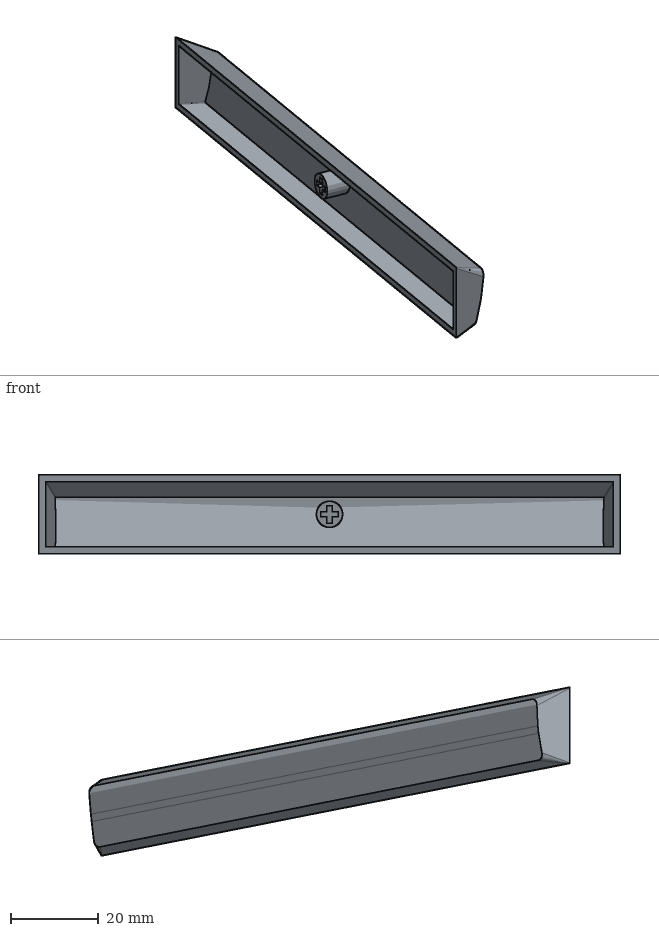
import cadquery as cq
import math

length = 132.5
height = 18.0
depth = 8.7

end_taper = 3.0
crown_height = 13.6
crown_low_depth = 6.4
crown_bulge = 0.5
rim_corner_radius = 0.1
crown_corner_radius = 1.6

wall = 1.6
cavity_end_inset = 4.1
cavity_height = 12.3
crown_wall = 1.2
cavity_corner_radius = 0.1

stem_diameter = 6.0
stem_recess = 1.3
socket_span = 4.0
socket_slot = 1.2
socket_depth = 4.0

crown_rise = depth - crown_low_depth
crown_chord = math.hypot(crown_rise, crown_height)
crown_radius = (crown_chord**2 / 4 + crown_bulge**2) / (2 * crown_bulge)
crown_tilt = math.atan2(crown_rise, crown_height)
axis_offset = crown_radius - crown_bulge
axis_y = (crown_low_depth + depth) / 2 - axis_offset * math.cos(crown_tilt)
axis_z = crown_height / 2 + axis_offset * math.sin(crown_tilt)


def tapered_block(rim, crown, crown_depths, radii):
    """Ruled loft from the rim rectangle to the tilted crown rectangle.

    rim and crown are (width, bottom Z, top Z); crown_depths are the Y values
    at the bottom and top of the crown rectangle.
    """
    rim_width, rim_bottom, rim_top = rim
    crown_width, crown_bottom, crown_top = crown
    low, high = crown_depths
    tall = crown_top - crown_bottom
    rise = high - low
    rim_plane = cq.Plane((0, 0, (rim_bottom + rim_top) / 2), (1, 0, 0), (0, -1, 0))
    crown_plane = cq.Plane(
        (0, (low + high) / 2, (crown_bottom + crown_top) / 2), (1, 0, 0), (0, -tall, rise)
    )
    rim_sketch = cq.Sketch().rect(rim_width, rim_top - rim_bottom).vertices().fillet(radii[0])
    crown_sketch = cq.Sketch().rect(crown_width, math.hypot(tall, rise)).vertices().fillet(radii[1])
    return (
        cq.Workplane("XY")
        .placeSketch(rim_sketch.moved(rim_plane.location), crown_sketch.moved(crown_plane.location))
        .loft(ruled=True)
    )


def crown_cylinder(radius):
    """Long cylinder along X, concentric with the crown arc."""
    return (
        cq.Workplane("YZ", origin=(-length / 2, 0, 0))
        .center(axis_y, axis_z)
        .circle(radius)
        .extrude(length)
    )


def outer_body():
    block = tapered_block(
        (length, 0, height),
        (length - 2 * end_taper, 0, crown_height),
        (crown_low_depth + crown_bulge, depth + crown_bulge),
        (rim_corner_radius, crown_corner_radius),
    )
    return block.intersect(crown_cylinder(crown_radius))


def cavity():
    block = tapered_block(
        (length - 2 * wall, wall, height - wall),
        (length - 2 * cavity_end_inset, wall, cavity_height),
        (crown_low_depth, depth),
        (cavity_corner_radius, cavity_corner_radius),
    )
    return block.intersect(crown_cylinder(crown_radius - crown_wall))


def stem():
    """Round post from near the rim plane into the crown wall."""
    face = cq.Workplane("XZ", origin=(0, stem_recess, height / 2))
    post = face.circle(stem_diameter / 2).extrude(-depth)
    post = post.intersect(crown_cylinder(crown_radius - crown_wall / 2))
    socket = face.rect(socket_span, socket_slot).extrude(-socket_depth)
    socket = socket.union(face.rect(socket_slot, socket_span).extrude(-socket_depth))
    return post.cut(socket)


result = outer_body().cut(cavity()).union(stem())